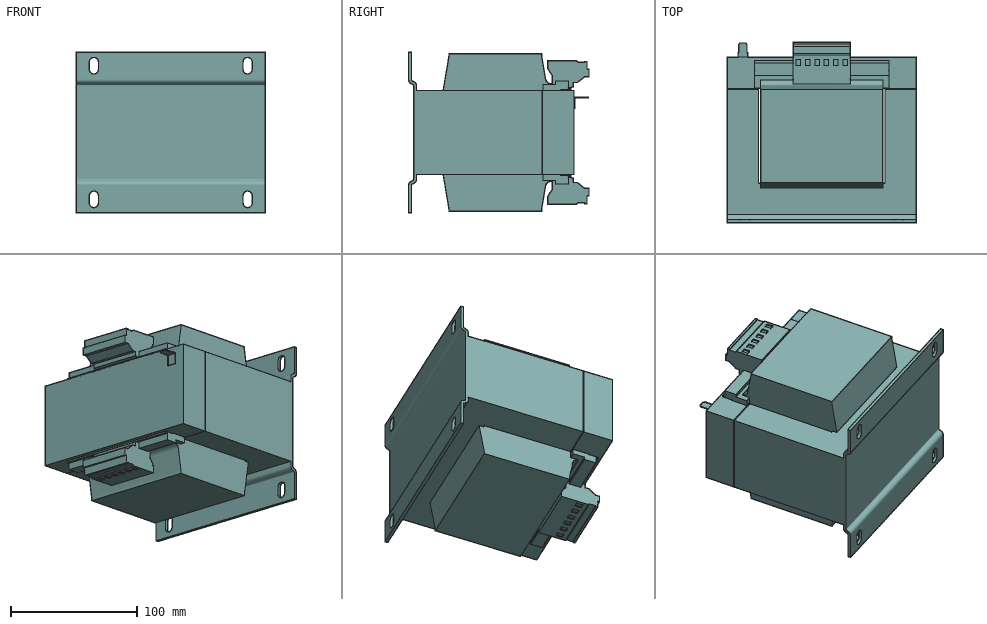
import cadquery as cq
import math


PLATE_WIDTH = 150.0
PLATE_HEIGHT = 127.5
SHEET = 2.5
JOGGLE = 4.0
JOGGLE_START_Z = 37.2
BEND_ANGLE = math.radians(60)
INNER_BEND_RADIUS = 0.75
OUTER_BEND_RADIUS = INNER_BEND_RADIUS + SHEET
SLOT_WIDTH = 7.0
SLOT_LENGTH = 13.0
SLOT_SPACING_X = 122.0
SLOT_SPACING_Z = 106.0

CORE_WIDTH = PLATE_WIDTH
CORE_HEIGHT = 66.8
CORE_FRONT_Y = JOGGLE + SHEET
YOKE_DEPTH = CORE_WIDTH / 6
WINDOW_WIDTH = CORE_WIDTH * 2 / 3
WINDOW_FRONT_Y = CORE_FRONT_Y + YOKE_DEPTH
CORE_BACK_Y = CORE_FRONT_Y + CORE_WIDTH * 5 / 6
AIR_GAP = 0.6
YOKE_FRONT_Y = CORE_BACK_Y - YOKE_DEPTH
LEG_END_Y = YOKE_FRONT_Y - AIR_GAP

COIL_WIDTH = 97.0
COIL_TOP_Z = 62.5
COIL_TOP_FRONT_Y = 32.0
COIL_TOP_BACK_Y = 105.8
COIL_RIM = 2.0
COIL_TAPER_ANGLE = math.radians(9.5)
COIL_FLARE_RADIUS = 4.5
COIL_LEDGE_Z = 38.8

RAIL_WIDTH = 106.5
RAIL_SETBACK = 0.3
RAIL_FRONT_Y = YOKE_FRONT_Y + RAIL_SETBACK
RAIL_STEP_Y = 116.7
RAIL_BACK_Y = 126.8
RAIL_LIP_Y = 128.9
RAIL_RELIEF_Y = 120.8
RAIL_RELIEF = 0.5
RAIL_LOW_Z = 38.2
RAIL_HIGH_Z = 40.7
RAIL_LIP_Z = 35.2

BLOCK_FRONT_Y = 110.3
BLOCK_BACK_Y = 143.25
BLOCK_TOP_Z = 57.0
BLOCK_FRONT_FACE_Z = 50.8
BLOCK_WAIST_Y = 114.0
BLOCK_WAIST_Z = 45.2
BLOCK_RECESS_Y = 134.4
BLOCK_RECESS_DEPTH = 1.1
BLOCK_RIDGE_Y = 139.8
BLOCK_RIDGE_HEIGHT = 0.6
BLOCK_NOSE_Y = 141.7
BLOCK_NOSE_TOP_Z = 50.2
BLOCK_NOSE_BOTTOM_Z = 44.2
BLOCK_BELLY_Y = 133.9
BLOCK_BELLY_Z = 39.5
BLOCK_FOOT_Y = 130.9
BLOCK_FOOT_BACK_Z = 36.2
BLOCK_FOOT_FRONT_Z = 35.6
BLOCK_SIDE_MARGIN = 0.6
POLE_COUNT = 6
POLE_PITCH = 7.45
BLOCK_WIDTH = POLE_COUNT * POLE_PITCH + BLOCK_SIDE_MARGIN
POCKET_WIDTH = 3.5
POCKET_LENGTH = 5.0
POCKET_DEPTH = 1.0
POCKET_CENTRE_Y = 127.1

TAB_CENTRE_X = -62.6
TAB_BASE_WIDTH = 8.0
TAB_BLADE_WIDTH = 6.8
TAB_SHOULDER_Y = 135.0
TAB_TIP_Y = 142.8
TAB_TIP_CHAMFER = 1.2
TAB_THICKNESS = 0.8
TAB_FOOT_THICKNESS = 0.6
TAB_TOP_Z = 28.1
TAB_FOOT_Z = 18.9


def box(width, y_from, y_to, z_from, z_to, centre_x=0.0):
    """A block centred on centre_x, between two Y and two Z values."""
    corner = (centre_x - width / 2, y_from, z_from)
    return cq.Workplane("XY").box(width, y_to - y_from, z_to - z_from, centered=False).translate(corner)


def extrude_profile(points, width):
    """A (Y, Z) outline extruded symmetrically along X."""
    return cq.Workplane("YZ").polyline(points).close().extrude(width / 2, both=True)


def with_mirror(body):
    """The body together with its mirror image below Z = 0."""
    return body.union(body.mirror("XY"))


def mounting_plate():
    bend_rise = 1 - math.cos(BEND_ANGLE)
    bend_run = math.sin(BEND_ANGLE)
    inner_y = INNER_BEND_RADIUS * bend_rise
    inner_z = INNER_BEND_RADIUS * bend_run
    outer_y = OUTER_BEND_RADIUS * bend_rise
    outer_z = OUTER_BEND_RADIUS * bend_run
    slope_z = (JOGGLE - inner_y - outer_y) / math.tan(BEND_ANGLE)
    joggle_end_z = JOGGLE_START_Z + inner_z + slope_z + outer_z
    half = (
        cq.Workplane("YZ")
        .moveTo(JOGGLE, 0)
        .lineTo(JOGGLE, JOGGLE_START_Z)
        .tangentArcPoint((-inner_y, inner_z))
        .lineTo(outer_y, joggle_end_z - outer_z)
        .tangentArcPoint((-outer_y, outer_z))
        .lineTo(0, PLATE_HEIGHT / 2)
        .lineTo(SHEET, PLATE_HEIGHT / 2)
        .lineTo(SHEET, joggle_end_z)
        .tangentArcPoint((inner_y, -inner_z))
        .lineTo(CORE_FRONT_Y - outer_y, JOGGLE_START_Z + outer_z)
        .tangentArcPoint((outer_y, -outer_z))
        .lineTo(CORE_FRONT_Y, 0)
        .close()
        .extrude(PLATE_WIDTH / 2, both=True)
    )
    slots = (
        cq.Workplane("XZ")
        .rarray(SLOT_SPACING_X, SLOT_SPACING_Z, 2, 2)
        .slot2D(SLOT_LENGTH, SLOT_WIDTH, 90)
        .extrude(SHEET, both=True)
    )
    return with_mirror(half).cut(slots)


def core():
    half_height = CORE_HEIGHT / 2
    legs = box(CORE_WIDTH, CORE_FRONT_Y, LEG_END_Y, -half_height, half_height)
    window = box(WINDOW_WIDTH, WINDOW_FRONT_Y, LEG_END_Y, -half_height, half_height)
    yoke = box(CORE_WIDTH, YOKE_FRONT_Y, CORE_BACK_Y, -half_height, half_height)
    return legs.cut(window).union(yoke)


def coil():
    rim_z = COIL_TOP_Z - COIL_RIM
    core_z = CORE_HEIGHT / 2
    taper = math.tan(COIL_TAPER_ANGLE)
    front_y = COIL_TOP_FRONT_Y - taper * (rim_z - core_z)
    flare_z = COIL_LEDGE_Z + COIL_FLARE_RADIUS * (1 - math.sin(COIL_TAPER_ANGLE))
    flare_y = COIL_TOP_BACK_Y + taper * (rim_z - flare_z)
    ledge_y = flare_y + COIL_FLARE_RADIUS * math.cos(COIL_TAPER_ANGLE)
    overhang = (
        cq.Workplane("YZ")
        .moveTo(front_y, core_z)
        .lineTo(COIL_TOP_FRONT_Y, rim_z)
        .lineTo(COIL_TOP_FRONT_Y, COIL_TOP_Z)
        .lineTo(COIL_TOP_BACK_Y, COIL_TOP_Z)
        .lineTo(COIL_TOP_BACK_Y, rim_z)
        .lineTo(flare_y, flare_z)
        .tangentArcPoint((ledge_y, COIL_LEDGE_Z), relative=False)
        .lineTo(ledge_y, core_z)
        .close()
        .extrude(COIL_WIDTH / 2, both=True)
    )
    middle = box(COIL_WIDTH, WINDOW_FRONT_Y, YOKE_FRONT_Y, -core_z, core_z)
    return with_mirror(overhang).union(middle)


def rail():
    core_z = CORE_HEIGHT / 2
    relief_z = core_z + RAIL_RELIEF
    return extrude_profile(
        [
            (RAIL_FRONT_Y, core_z),
            (RAIL_FRONT_Y, RAIL_LOW_Z),
            (RAIL_STEP_Y, RAIL_LOW_Z),
            (RAIL_STEP_Y, RAIL_HIGH_Z),
            (RAIL_BACK_Y, RAIL_HIGH_Z),
            (RAIL_BACK_Y, RAIL_LIP_Z),
            (RAIL_LIP_Y, RAIL_LIP_Z),
            (RAIL_LIP_Y, relief_z),
            (RAIL_RELIEF_Y, relief_z),
            (RAIL_RELIEF_Y, core_z),
        ],
        RAIL_WIDTH,
    )


def terminal_block():
    recess_z = BLOCK_TOP_Z - BLOCK_RECESS_DEPTH
    ridge_z = recess_z + BLOCK_RIDGE_HEIGHT
    body = extrude_profile(
        [
            (BLOCK_FRONT_Y, BLOCK_TOP_Z),
            (BLOCK_RECESS_Y - BLOCK_RECESS_DEPTH, BLOCK_TOP_Z),
            (BLOCK_RECESS_Y, recess_z),
            (BLOCK_RIDGE_Y, recess_z),
            (BLOCK_RIDGE_Y, ridge_z),
            (BLOCK_NOSE_Y, ridge_z),
            (BLOCK_NOSE_Y, BLOCK_NOSE_TOP_Z),
            (BLOCK_BACK_Y, BLOCK_NOSE_TOP_Z),
            (BLOCK_BACK_Y, BLOCK_NOSE_BOTTOM_Z),
            (BLOCK_RIDGE_Y, BLOCK_NOSE_BOTTOM_Z),
            (BLOCK_BELLY_Y, BLOCK_BELLY_Z),
            (BLOCK_FOOT_Y, BLOCK_BELLY_Z),
            (BLOCK_FOOT_Y, BLOCK_FOOT_BACK_Z),
            (RAIL_LIP_Y, BLOCK_FOOT_FRONT_Z),
            (RAIL_BACK_Y, BLOCK_FOOT_FRONT_Z),
            (RAIL_BACK_Y, RAIL_LOW_Z),
            (BLOCK_WAIST_Y, RAIL_LOW_Z),
            (BLOCK_WAIST_Y, BLOCK_WAIST_Z),
            (BLOCK_FRONT_Y, BLOCK_FRONT_FACE_Z),
        ],
        BLOCK_WIDTH,
    )
    for pole in range(POLE_COUNT):
        pole_x = (pole - (POLE_COUNT - 1) / 2) * POLE_PITCH
        pocket = box(
            POCKET_WIDTH,
            POCKET_CENTRE_Y - POCKET_LENGTH / 2,
            POCKET_CENTRE_Y + POCKET_LENGTH / 2,
            BLOCK_TOP_Z - POCKET_DEPTH,
            BLOCK_TOP_Z,
            pole_x,
        )
        body = body.cut(pocket)
    return body


def earth_tab():
    blade_z = TAB_TOP_Z - TAB_THICKNESS
    foot_back_y = CORE_BACK_Y + TAB_FOOT_THICKNESS
    foot = box(TAB_BASE_WIDTH, CORE_BACK_Y, foot_back_y, TAB_FOOT_Z, TAB_TOP_Z, TAB_CENTRE_X)
    base = box(TAB_BASE_WIDTH, CORE_BACK_Y, TAB_SHOULDER_Y, blade_z, TAB_TOP_Z, TAB_CENTRE_X)
    blade = box(TAB_BLADE_WIDTH, CORE_BACK_Y, TAB_TIP_Y, blade_z, TAB_TOP_Z, TAB_CENTRE_X)
    blade = blade.edges("|Z and >Y").chamfer(TAB_TIP_CHAMFER)
    return foot.union(base).union(blade)


result = (
    mounting_plate()
    .union(core())
    .union(coil())
    .union(with_mirror(rail()))
    .union(with_mirror(terminal_block()))
    .union(earth_tab())
)